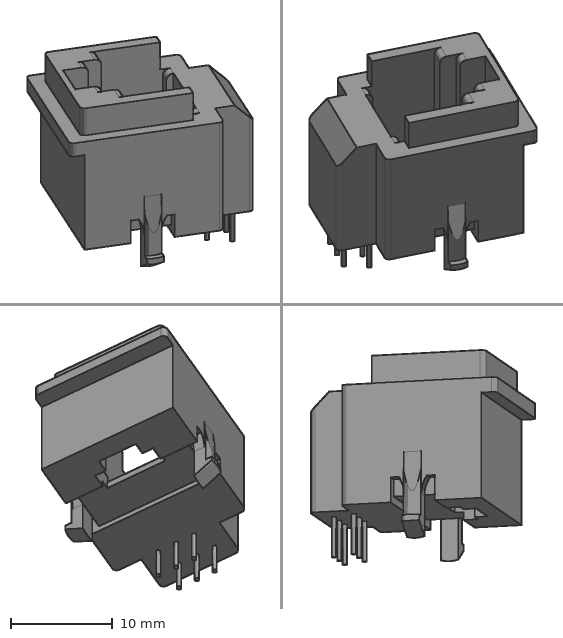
import cadquery as cq
import math


body_width = 14.89
body_back = 15.8
body_height = 12.0
flange_depth = 1.5
flange_thickness = 1.48
corner_radius = 0.5

block_width = 8.87
block_back = 19.8
block_chamfer = 2.0

collar_width = 12.4
collar_back = 13.0
collar_height = 3.0
collar_top = body_height + collar_height

cavity_width = 9.86
cavity_front = 6.47
cavity_back = 14.02
step_width = 6.57
step_front = 4.8
keyway_width = 4.15
keyway_front = 2.18
rim_radius = 0.67
cavity_floor = 1.78
opening_front = 3.48
opening_back = 7.17
shelf_back = 7.25
shelf_rise = 0.99

post_width = 1.17
post_depth = 0.75

clip_y = 8.5
clip_width = 1.78
clip_reach = 8.45
clip_inner_x = 6.3
clip_top = 4.99
hook_radius = 2.87
shank_radius = 2.22
hook_top = -1.48
hook_edge_z = -2.12
hook_tip_z = -3.46
clip_taper = 0.09
underside_radius = 3.56

relief_width = 4.5
relief_height = 2.51
channel_height = 0.8
flare_radius = 2.91

pin_count = 6
pin_pitch = 1.0
pin_diameter = 0.45
pin_length = 4.0
pin_rows = (15.84, 18.14)
pin_embed = 0.4


def box(width, y_front, y_back, z_low, z_high):
    """Block centred on X that spans the given Y and Z ranges."""
    depth = y_back - y_front
    height = z_high - z_low
    solid = cq.Workplane("XY").box(width, depth, height, centered=(True, False, False))
    return solid.translate((0, y_front, z_low))


def x_box(x_low, x_high, y_mid, y_width, z_low, z_high):
    """Block centred on a Y position that spans the given X and Z ranges."""
    solid = cq.Workplane("XY").box(x_high - x_low, y_width, z_high - z_low, centered=(False, True, False))
    return solid.translate((x_low, y_mid, z_low))


def make_housing():
    """Housing with its front flange, chamfered rear block and plug collar."""
    housing = box(body_width, 0, body_back, 0, body_height).edges("|Z").fillet(corner_radius)
    under_flange = box(body_width, 0, flange_depth, 0, body_height - flange_thickness)
    block = (
        box(block_width, body_back - block_chamfer, block_back, 0, body_height)
        .edges("|Z and >Y").fillet(corner_radius)
    )
    chamfer_wedge = (
        cq.Workplane("YZ")
        .moveTo(block_back - block_chamfer, body_height)
        .lineTo(block_back, body_height)
        .lineTo(block_back, body_height - block_chamfer)
        .close()
        .extrude(block_width / 2, both=True)
    )
    collar = (
        box(collar_width, flange_depth, collar_back, body_height, collar_top)
        .edges("|Z and <Y").fillet(corner_radius)
    )
    return housing.cut(under_flange).union(block.cut(chamfer_wedge)).union(collar)


def cavity_step(width, y_front):
    """Cavity stage whose front wall is rounded over into the collar rim."""
    stage = box(width, y_front, cavity_back, cavity_floor, collar_top)
    rim = box(width, y_front - rim_radius, y_front, collar_top - rim_radius, collar_top)
    rounding = (
        cq.Workplane("YZ")
        .center(y_front - rim_radius, collar_top - rim_radius)
        .circle(rim_radius)
        .extrude(width / 2, both=True)
    )
    return stage.union(rim.cut(rounding))


def make_cavity():
    """Plug cavity with its keyway, its opening through the floor and two raised shelves."""
    shelf = box(cavity_width, cavity_front, shelf_back, cavity_floor, cavity_floor + shelf_rise)
    cavity = cavity_step(cavity_width, cavity_front).cut(shelf)
    cavity = cavity.union(cavity_step(step_width, step_front))
    cavity = cavity.union(box(keyway_width, keyway_front, cavity_back, cavity_floor, collar_top))
    cavity = cavity.union(box(keyway_width, opening_front, opening_back, 0, cavity_floor))
    return cavity.union(box(step_width, step_front, opening_back, 0, cavity_floor))


def make_post():
    """Guide post in the left rear cavity corner, with its front top edge rounded."""
    post_x = -cavity_width / 2
    post_y = cavity_back - post_depth / 2
    round_base = body_height - post_depth
    post = x_box(post_x, post_x + post_width, post_y, post_depth, cavity_floor, body_height)
    post_end = x_box(post_x, post_x + post_width, post_y, post_depth, round_base, body_height)
    rounding = (
        cq.Workplane("YZ", origin=(post_x, 0, 0))
        .center(cavity_back, round_base)
        .circle(post_depth)
        .extrude(post_width)
    )
    return post.cut(post_end.cut(rounding))


def make_relief():
    """Recess in the left wall around the clip, leaving flared webs beside the clip root."""
    recess = x_box(-body_width / 2, -clip_inner_x, clip_y, relief_width, 0, relief_height)
    web = x_box(
        -body_width / 2, -clip_inner_x, clip_y,
        clip_width + 2 * flare_radius, channel_height, relief_height,
    )
    for side in (-1, 1):
        flare = (
            cq.Workplane("YZ", origin=(-body_width / 2, 0, 0))
            .center(clip_y + side * (clip_width / 2 + flare_radius), channel_height)
            .circle(flare_radius)
            .extrude(body_width / 2 - clip_inner_x)
        )
        web = web.cut(flare)
    return recess.cut(web)


def make_clip():
    """Left clip: shank that tapers into the wall, with a hook that slopes back underneath."""
    axis_x = hook_radius - clip_reach
    axis = cq.Workplane("XY").center(axis_x, clip_y)
    taper_start = clip_top - (clip_reach - body_width / 2) / clip_taper
    taper_cut = (
        cq.Workplane("XZ", origin=(0, clip_y, 0))
        .moveTo(-body_width / 2, clip_top)
        .lineTo(-clip_reach, clip_top)
        .lineTo(-clip_reach, taper_start)
        .close()
        .extrude(clip_width, both=True)
    )
    shank = axis.workplane(offset=hook_top).circle(shank_radius).extrude(clip_top - hook_top).cut(taper_cut)

    run = clip_reach - clip_inner_x
    drop = hook_edge_z - hook_tip_z
    slope_length = math.hypot(run, drop)
    underside_axis = (
        -clip_reach + underside_radius * drop / slope_length,
        clip_y,
        hook_edge_z + underside_radius * run / slope_length,
    )
    underside_plane = cq.Plane(origin=underside_axis, xDir=(0, 1, 0), normal=(run, 0, -drop))
    underside = cq.Workplane(underside_plane).circle(underside_radius).extrude(2 * slope_length, both=True)
    hook = axis.workplane(offset=hook_tip_z).circle(hook_radius).extrude(hook_top - hook_tip_z)
    hook = hook.intersect(underside)

    strip = x_box(-clip_reach, -clip_inner_x, clip_y, clip_width, hook_tip_z, clip_top)
    return shank.union(hook).intersect(strip)


def make_pins():
    """Solder pins that alternate between the two rows."""
    pins = cq.Workplane("XY", origin=(0, 0, -pin_length))
    places = []
    for index in range(pin_count):
        x = (index - (pin_count - 1) / 2) * pin_pitch
        places.append((x, pin_rows[index % 2]))
    return pins.pushPoints(places).circle(pin_diameter / 2).extrude(pin_length + pin_embed)


def both_sides(feature):
    """Feature together with its mirror image across X = 0."""
    return feature.union(feature.mirror("YZ"))


channel = x_box(-body_width / 2, body_width / 2, clip_y, relief_width, 0, channel_height)

result = make_housing().cut(make_cavity())
result = result.union(both_sides(make_post()))
result = result.cut(channel).cut(both_sides(make_relief()))
result = result.union(both_sides(make_clip()))
result = result.union(make_pins())